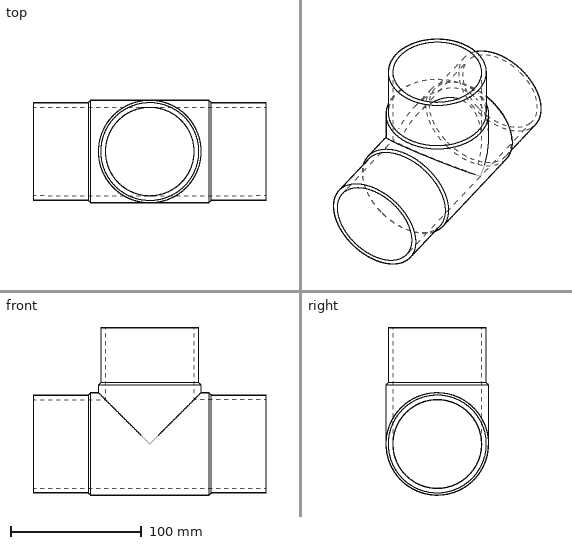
import cadquery as cq

spigot_diameter = 75.0
body_diameter = 78.6
bore_diameter = 67.8
axis_to_end = 89.0
spigot_length = 42.0

taper_length = (body_diameter - spigot_diameter) / 2
axis_to_shoulder = axis_to_end - spigot_length


def cylinder_from_centre(plane, diameter, length):
    return cq.Workplane(plane).circle(diameter / 2).extrude(length)


def arm(plane):
    """Solid arm from the origin: body, tapered shoulder, then spigot."""
    body = cylinder_from_centre(plane, body_diameter, axis_to_shoulder)
    body = body.faces(cq.selectors.DirectionMinMaxSelector(plane.zDir, True)).chamfer(taper_length)
    return body.union(cylinder_from_centre(plane, spigot_diameter, axis_to_end))


origin = (0, 0, 0)
arm_planes = [
    cq.Plane(origin, xDir=(0, 1, 0), normal=(1, 0, 0)),
    cq.Plane(origin, xDir=(0, 1, 0), normal=(-1, 0, 0)),
    cq.Plane(origin, xDir=(1, 0, 0), normal=(0, 0, 1)),
]
run_right, run_left, branch = arm_planes

result = arm(run_right).union(arm(run_left)).union(arm(branch)).clean()

for plane in arm_planes:
    result = result.cut(cylinder_from_centre(plane, bore_diameter, axis_to_end))